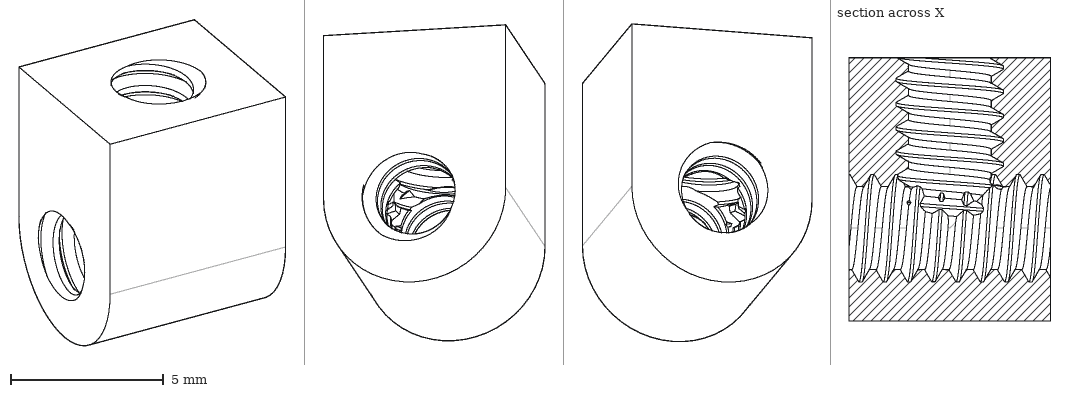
import cadquery as cq
import math

width = 6.08
length = 6.59
height = 8.62
end_radius = width / 2
cross_axis_z = end_radius

pitch = 25.4 / 32
major_radius = 3.505 / 2
minor_radius = 2.70 / 2
flank_angle = math.radians(30)
root_flat = pitch / 8

lead_in_turns = 1
run_out_turns = 1
run_past = pitch
bore_overlap = 0.05

top_start_angle = -60
front_start_angle = 152

top_depth = height - cross_axis_z
top_turns = math.floor(top_depth / pitch)
cross_depth = length + run_past
cross_turns = math.floor(length / pitch) + run_out_turns


def block():
    """Block with a half-round underside whose axis runs along Y, centred on X and Y."""
    return (
        cq.Workplane("XZ", origin=(0, length / 2, 0))
        .moveTo(-end_radius, height)
        .lineTo(-end_radius, cross_axis_z)
        .threePointArc((0, 0), (end_radius, cross_axis_z))
        .lineTo(end_radius, height)
        .close()
        .extrude(length)
    )


def thread_groove(turns):
    """Right-hand trapezoidal groove along Z, with its root on +X at Z = 0."""
    inner_radius = minor_radius - bore_overlap
    root_half = root_flat / 2
    inner_half = root_half + (major_radius - inner_radius) * math.tan(flank_angle)
    profile = (
        cq.Workplane("XZ")
        .moveTo(inner_radius, -inner_half)
        .lineTo(major_radius, -root_half)
        .lineTo(major_radius, root_half)
        .lineTo(inner_radius, inner_half)
        .close()
    )
    helix = cq.Wire.makeHelix(pitch, (lead_in_turns + turns) * pitch, major_radius)
    groove = profile.sweep(cq.Workplane(helix), isFrenet=True)
    return groove.translate((0, 0, -lead_in_turns * pitch))


def cut_threaded_hole(part, mouth, depth, turns, start_angle):
    """Cut a threaded hole inward from the mouth plane, whose normal is the inward axis."""
    groove = thread_groove(turns).rotate((0, 0, 0), (0, 0, 1), start_angle)
    bore = cq.Workplane("XY", origin=(0, 0, -run_past)).circle(minor_radius).extrude(depth + run_past)
    for cutter in (groove, bore):
        part = part.cut(cq.Workplane(cutter.val().moved(cq.Location(mouth))))
    return part


front_mouth = cq.Plane(origin=(0, -length / 2, cross_axis_z), xDir=(1, 0, 0), normal=(0, 1, 0))
top_mouth = cq.Plane(origin=(0, 0, height), xDir=(1, 0, 0), normal=(0, 0, -1))

result = block()
result = cut_threaded_hole(result, front_mouth, cross_depth, cross_turns, front_start_angle)
result = cut_threaded_hole(result, top_mouth, top_depth, top_turns, top_start_angle)